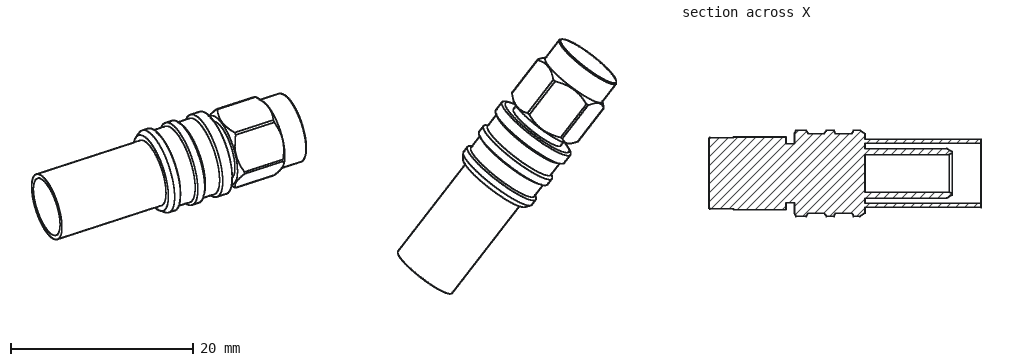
import cadquery as cq
import math

total_length = 29.9
tube_length = 12.75
ring_body_end = 20.5
nut_start = 21.4
nut_end = 27.2

tube_radius = 3.77
tube_bore_radius = 3.3

stem_tip = 3.17
stem_radius = 2.75
stem_tip_radius = 2.4
stem_cone_length = 0.6
stem_bore_radius = 2.03
stem_mouth_radius = 2.2
stem_mouth_length = 0.35

body_radius = 4.4
ring_radius = 4.75
tail_face_radius = 4.37
rings = [
    (tube_length, 14.2, tail_face_radius, 0.57, 0.18),
    (16.0, 17.25, body_radius, 0.15, 0.27),
    (19.0, ring_body_end, body_radius, 0.2, 0.15),
]

neck_radius = 3.3
nut_across_flats = 8.0
nut_corner_radius = 4.55
nut_cone_length = 0.55
collar_radius = 3.95
collar_chamfer = 0.12


def revolve(profile):
    """Turn a closed (radius, station) profile about the Y axis."""
    return cq.Workplane("XY").polyline(profile).close().revolve(360, (0, 0, 0), (0, 1, 0))


def cylinder(radius, start, end):
    """Solid cylinder on the Y axis between two stations."""
    return revolve([(0, start), (radius, start), (radius, end), (0, end)])


def make_tube():
    """Thin crimp tube, open at its free end and closed by the ringed body."""
    outside = cylinder(tube_radius, 0, tube_length)
    return outside.cut(cylinder(tube_bore_radius, 0, tube_length))


def make_stem():
    """Sleeve inside the tube, coned outside at its tip, with a flared bore mouth."""
    return revolve([
        (stem_bore_radius, tube_length),
        (stem_bore_radius, stem_tip + stem_mouth_length),
        (stem_mouth_radius, stem_tip),
        (stem_tip_radius, stem_tip),
        (stem_radius, stem_tip + stem_cone_length),
        (stem_radius, tube_length),
    ])


def make_ring(start, end, start_radius, start_bevel, end_bevel):
    """Raised ring of the body, bevelled on both sides."""
    return revolve([
        (0, start),
        (start_radius, start),
        (ring_radius, start + start_bevel),
        (ring_radius, end - end_bevel),
        (body_radius, end),
        (0, end),
    ])


def make_body():
    """Grooved body carrying the raised rings."""
    first_ring_end = rings[0][1]
    body = cylinder(body_radius, first_ring_end, ring_body_end)
    for ring in rings:
        body = body.union(make_ring(*ring))
    return body


def make_nut():
    """Hexagonal nut with flats facing +Z and -Z, corners trimmed and coned at both ends."""
    corner_diameter = nut_across_flats / math.cos(math.radians(30))
    hexagon = (
        cq.Workplane("XZ", origin=(0, nut_start, 0))
        .polygon(6, corner_diameter)
        .extrude(nut_start - nut_end)
    )
    envelope = revolve([
        (0, nut_start),
        (collar_radius, nut_start),
        (nut_corner_radius, nut_start + nut_cone_length),
        (nut_corner_radius, nut_end - nut_cone_length),
        (collar_radius, nut_end),
        (0, nut_end),
    ])
    return hexagon.intersect(envelope)


neck = cylinder(neck_radius, ring_body_end, nut_start)
collar = cylinder(collar_radius, nut_end, total_length).faces(">Y").chamfer(collar_chamfer)

result = make_body().union(make_tube()).union(make_stem()).union(neck).union(make_nut()).union(collar)